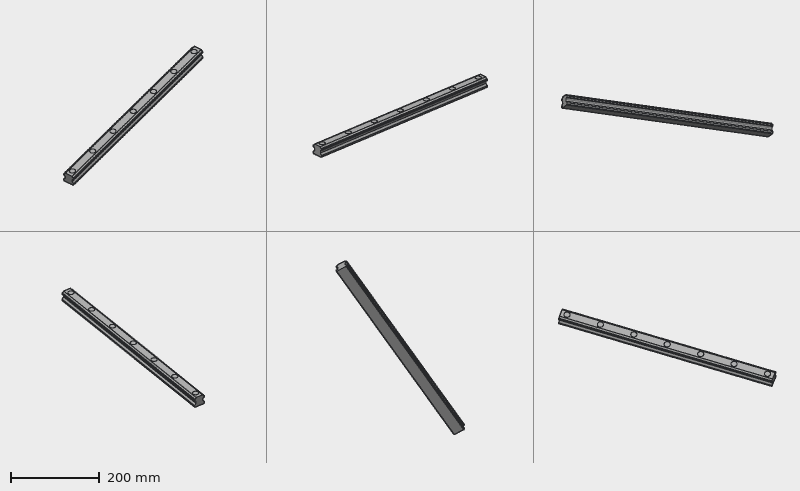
import cadquery as cq
import math

rail_width = 28.0
rail_length = 510.0
rail_height = 26.0

head_top_width = 18.6
waist_width = 19.4
shoulder_width = 25.6
flange_tip_height = 3.0
flange_mid_height = 19.9

waist_bottom = 10.0
foot_shoulder_width = 27.6
foot_shoulder_height = 5.6
foot_side_top = 5.2
foot_chamfer = 1.6

hole_count = 7
hole_pitch = 80.0
recess_diameter = 14.0
recess_depth = 0.1

half_width = rail_width / 2
half_head = head_top_width / 2
half_waist = waist_width / 2
half_shoulder = shoulder_width / 2
half_foot_shoulder = foot_shoulder_width / 2

upper_track_radius = half_shoulder - half_head
lower_track_radius = half_shoulder - half_waist
upper_track_floor = rail_height - upper_track_radius
lower_track_roof = 2 * flange_mid_height - upper_track_floor
waist_top = lower_track_roof - lower_track_radius
tip_top = flange_mid_height + flange_tip_height / 2
tip_bottom = flange_mid_height - flange_tip_height / 2


def half_section():
    """Right half of the rail section, closed along the plane of symmetry."""
    upper_mid_offset = upper_track_radius * math.sqrt(0.5)
    lower_mid_offset = lower_track_radius * math.sqrt(0.5)
    return (
        cq.Workplane("XZ", origin=(0, rail_length / 2, 0))
        .moveTo(0, 0)
        .lineTo(half_width - foot_chamfer, 0)
        .lineTo(half_width, foot_chamfer)
        .lineTo(half_width, foot_side_top)
        .lineTo(half_foot_shoulder, foot_shoulder_height)
        .lineTo(half_waist, waist_bottom)
        .lineTo(half_waist, waist_top)
        .threePointArc(
            (half_shoulder - lower_mid_offset, waist_top + lower_mid_offset),
            (half_shoulder, lower_track_roof),
        )
        .lineTo(half_width, tip_bottom)
        .lineTo(half_width, tip_top)
        .lineTo(half_shoulder, upper_track_floor)
        .threePointArc(
            (half_shoulder - upper_mid_offset, rail_height - upper_mid_offset),
            (half_head, rail_height),
        )
        .lineTo(0, rail_height)
        .close()
    )


def rail_body():
    """Full symmetric rail, centred on X and Y and standing on Z = 0."""
    half = half_section().extrude(rail_length)
    return half.union(half.mirror("YZ")).clean()


def hole_recesses():
    """Evenly pitched discs that sink the hole markings into the top face."""
    return (
        cq.Workplane("XY", origin=(0, 0, rail_height - recess_depth))
        .rarray(1, hole_pitch, 1, hole_count)
        .circle(recess_diameter / 2)
        .extrude(recess_depth)
    )


result = rail_body().cut(hole_recesses())